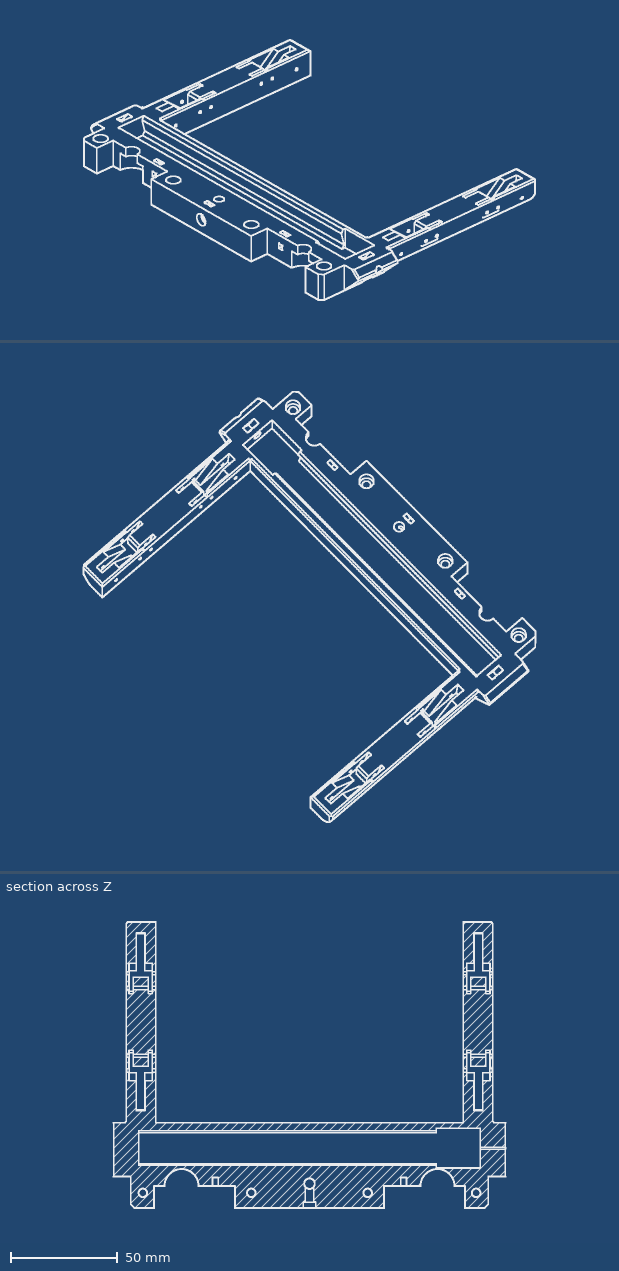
import cadquery as cq
import math

length = 186.7
depth = 134.0
height = 14.0

bar_front = 10.3
bar_back = 40.0
back_chamfer = 1.0
ear_outer = 83.8
ear_inner = 72.8
ear_chamfer = 1.9
block_half = 35.0

wing_front = 14.7
wing_top_run = 3.4
wing_foot_run = 9.9
wing_land_bottom = 9.3
wing_land_top = 11.0
wing_end_chamfer = 0.7
foot_notch_y = 29.3
foot_notch_width = 6.3
foot_notch_run = 1.5
foot_notch_height = 1.3

arm_x = 79.05
arm_width = 14.2
arm_corner_chamfer = 1.1
arm_round_start = 9.3
arm_round_radius = 14.5
arm_round_start_angle = 9.0
pad_height = 0.65
pad_bevel = 1.1
root_fillet = 1.1
root_reach = 2.8
root_zone_margin = 1.9

clip_mid_y = 87.2
clip_width = 10.8
clip_floor = 5.0
clip_slot_width = 4.0
clip_slot_end = 42.2
clip_slot_end_run = 1.0
ramp_top = 34.7
ramp_foot = 23.9
tab_front = 21.0
tab_bevel = 1.9
tab_width = 7.1
tab_root = 11.2
tab_root_ramp = 3.2
pad_inner_end = 19.8
pin_diameter = 1.3
pins = [(38.0, 7.0), (22.8, 8.0), (15.9, 8.0)]

channel_y = 28.0
channel_floor = 3.5
channel_start = -79.9
channel_end = 59.4
channel_mouth = 16.0
channel_lip = 13.8
channel_belly = 17.2
channel_base = 14.5
lip_drop = 1.9
base_rise = 1.9
chamber_end = 79.9
chamber_width = 18.5

screw_xs = (-78.0, -27.3, 27.3, 78.0)
screw_y = 7.1
screw_diameter = 4.0
screw_bore = 7.0
screw_bore_depth = 4.7
center_hole_diameter = 4.9
center_hole_y = 11.4
front_hole_z = 7.3
front_hole_diameter = 4.0
front_bore = 6.0
front_bore_depth = 2.8
wing_hole_diameter = 4.0
wing_hole_z = 9.9
bay_x = 60.0
bay_diameter = 7.8
bay_bore = 15.9
bay_bore_height = 9.1
strap_x = 44.0
strap_y = 13.3
strap_length = 5.2
strap_width = 2.0
strap_hole = 2.6
strap_hole_z = 8.0
center_strap_y = 5.2
wing_strap_x = 84.5
wing_strap_length = 7.1
wing_strap_width = 3.2
strap_slope = 0.55


def box(x0, x1, y0, y1, z0, z1):
    return cq.Workplane("XY").box(x1 - x0, y1 - y0, z1 - z0, centered=False).translate((x0, y0, z0))


def prism_along_x(points, width, x_center=0):
    """Extrude a (Y, Z) outline along X, centred on x_center."""
    return cq.Workplane("YZ").polyline(points).close().extrude(width / 2, both=True).translate((x_center, 0, 0))


def upright(x, y, diameter, z0, z1):
    return cq.Workplane("XY", origin=(x, y, z0)).circle(diameter / 2).extrude(z1 - z0)


def on_both_sides(shape):
    return shape.union(shape.mirror("YZ"))


def make_bar():
    half = length / 2
    profile = [
        (-half + wing_foot_run, 0),
        (-half, wing_land_bottom),
        (-half, wing_land_top),
        (-half + wing_top_run, height),
        (half - wing_top_run, height),
        (half, wing_land_top),
        (half, wing_land_bottom),
        (half - wing_foot_run, 0),
    ]
    winged = cq.Workplane("XZ", origin=(0, bar_back, 0)).polyline(profile).close().extrude(bar_back - wing_front)
    for side in (-1, 1):
        slope_direction = cq.Vector(side * wing_top_run, 0, wing_land_top - height)
        winged = winged.edges(cq.selectors.ParallelDirSelector(slope_direction)).chamfer(wing_end_chamfer)
    ear = box(-ear_outer, -ear_inner, 0, bar_back, 0, height)
    ear = ear.edges("|Z and <X and <Y").chamfer(ear_chamfer)
    body = winged.union(on_both_sides(ear))
    body = body.union(box(-ear_inner, ear_inner, bar_front, bar_back, 0, height))
    return body.union(box(-block_half, block_half, 0, bar_back, 0, height))


def make_back_bevel():
    """Bevel along the top back edge of the bar between the arms."""
    points = [(bar_back, height), (bar_back - back_chamfer, height), (bar_back, height - back_chamfer)]
    return prism_along_x(points, 2 * arm_x - arm_width)


def make_pad(y0, y1):
    """Raised pad with bevelled sides on top of the left arm."""
    slope = math.degrees(math.atan(pad_bevel / pad_height))
    base = cq.Workplane("XY", origin=(-arm_x, (y0 + y1) / 2, height - pad_height))
    return base.rect(arm_width, y1 - y0).extrude(pad_height, taper=slope)


def make_arm():
    outer = -arm_x - arm_width / 2
    inner = -arm_x + arm_width / 2
    start_angle = math.radians(arm_round_start_angle)
    center_x = outer + arm_round_radius * math.cos(start_angle)
    center_z = arm_round_start + arm_round_radius * math.sin(start_angle)
    end_angle = math.asin(center_z / arm_round_radius)

    def on_round(angle):
        return (
            center_x - arm_round_radius * math.cos(angle),
            center_z - arm_round_radius * math.sin(angle),
        )

    section = (
        cq.Workplane("XZ", origin=(0, depth, 0))
        .moveTo(outer, height)
        .lineTo(outer, arm_round_start)
        .threePointArc(on_round((start_angle + end_angle) / 2), on_round(end_angle))
        .lineTo(inner, 0)
        .lineTo(inner, height)
        .close()
    )
    return section.extrude(depth - bar_back)


def make_deck_relief():
    """Cutter that lowers the top of the left arm, leaving the two bevelled pads."""
    half_width = arm_width / 2
    layer = box(-arm_x - half_width, -arm_x + half_width, bar_back, depth, height - pad_height, height)
    layer = layer.cut(make_pad(clip_mid_y + pad_inner_end, depth))
    return layer.cut(make_pad(bar_back - pad_bevel, clip_mid_y - pad_inner_end))


def make_tip_corner():
    """Cutter for the bevelled outer corner at the tip of the left arm."""
    outer = -arm_x - arm_width / 2
    corner = [
        (outer, depth - arm_corner_chamfer),
        (outer, depth),
        (outer + arm_corner_chamfer, depth),
    ]
    return cq.Workplane("XY").polyline(corner).close().extrude(height)


def make_clip():
    """Cutter for the clip nearer the arm tip, with Y measured from the clip midpoint."""
    pocket = prism_along_x(
        [
            (tab_root, height),
            (tab_root + tab_root_ramp, clip_floor),
            (ramp_foot, clip_floor),
            (ramp_top, height),
        ],
        clip_width,
    )
    tab = prism_along_x(
        [(0, 0), (tab_front, 0), (tab_front, height - tab_bevel), (tab_front - tab_bevel, height), (0, height)],
        tab_width,
    )
    slot = prism_along_x(
        [
            (tab_front, height),
            (tab_front, clip_floor),
            (clip_slot_end - clip_slot_end_run, clip_floor),
            (clip_slot_end, height),
        ],
        clip_slot_width,
    )
    return pocket.cut(tab).union(slot)


def make_channel():
    """Lipped channel, widest near its floor, opening into a plain chamber."""
    belly_z = channel_floor + base_rise
    half_section = [
        (channel_mouth / 2, height),
        (channel_lip / 2, height - lip_drop),
        (channel_belly / 2, belly_z),
        (channel_base / 2, channel_floor),
    ]
    back = [(channel_y + w, z) for w, z in half_section]
    front = [(channel_y - w, z) for w, z in reversed(half_section)]
    channel = prism_along_x(back + front, channel_end - channel_start, (channel_start + channel_end) / 2)
    half_chamber = chamber_width / 2
    chamber = box(
        channel_end, chamber_end, channel_y - half_chamber, channel_y + half_chamber, channel_floor, height
    )
    return channel.union(chamber)


def make_strap_recess(span, width):
    """V-bottomed recess whose length runs along X, centred on the origin in plan."""
    points = [(-span / 2, height), (0, height - strap_slope * span / 2), (span / 2, height)]
    return cq.Workplane("XZ").polyline(points).close().extrude(width / 2, both=True)


body = make_bar().cut(make_back_bevel())
body = body.union(on_both_sides(make_arm()))
for side in (-1, 1):
    root_x = side * (arm_x + arm_width / 2)
    zone = cq.selectors.BoxSelector(
        (root_x - root_reach, bar_back - root_fillet / 2, root_zone_margin),
        (root_x + root_reach, bar_back + root_fillet / 2, height - root_zone_margin),
    )
    body = body.edges(zone).edges("|Z or %CIRCLE").fillet(root_fillet)
body = body.cut(on_both_sides(make_deck_relief()))
body = body.cut(on_both_sides(make_tip_corner()))

notch = prism_along_x(
    [
        (foot_notch_y - foot_notch_width / 2, 0),
        (foot_notch_y - foot_notch_width / 2 + foot_notch_run, foot_notch_height),
        (foot_notch_y + foot_notch_width / 2 - foot_notch_run, foot_notch_height),
        (foot_notch_y + foot_notch_width / 2, 0),
    ],
    wing_strap_width,
    wing_foot_run - length / 2,
)
body = body.cut(on_both_sides(notch))

clip = make_clip()
clips = clip.union(clip.mirror("XZ")).translate((-arm_x, clip_mid_y, 0))
body = body.cut(on_both_sides(clips))
for distance, pin_z in pins:
    for side in (-1, 1):
        pin = cq.Workplane("YZ", origin=(0, clip_mid_y + side * distance, pin_z))
        body = body.cut(pin.circle(pin_diameter / 2).extrude(length / 2, both=True))

body = body.cut(make_channel())

for x in screw_xs:
    body = body.cut(upright(x, screw_y, screw_diameter, 0, height))
    body = body.cut(upright(x, screw_y, screw_bore, height - screw_bore_depth, height))
body = body.cut(upright(0, center_hole_y, center_hole_diameter, 0, height))

front_face = cq.Workplane("XZ", origin=(0, 0, front_hole_z))
body = body.cut(front_face.circle(front_hole_diameter / 2).extrude(-center_hole_y))
body = body.cut(front_face.circle(front_bore / 2).extrude(-front_bore_depth))

wing_hole = cq.Workplane("YZ", origin=(chamber_end, channel_y, wing_hole_z)).circle(wing_hole_diameter / 2)
body = body.cut(wing_hole.extrude(length / 2 - chamber_end))

bay = upright(-bay_x, bar_front, bay_diameter, 0, height)
bay = bay.union(upright(-bay_x, bar_front, bay_bore, 0, bay_bore_height))
body = body.cut(on_both_sides(bay))

strap_recess = make_strap_recess(strap_length, strap_width)
body = body.cut(strap_recess.translate((0, center_strap_y, 0)))
wing_recess = make_strap_recess(wing_strap_length, wing_strap_width).rotate((0, 0, 0), (0, 0, 1), 90)
for side in (-1, 1):
    body = body.cut(strap_recess.translate((side * strap_x, strap_y, 0)))
    body = body.cut(wing_recess.translate((side * wing_strap_x, channel_y, 0)))
    square = cq.Workplane("XZ", origin=(side * strap_x, bar_front, strap_hole_z)).rect(strap_hole, strap_hole)
    body = body.cut(square.extrude(bar_front - strap_y - strap_width / 2))

result = body